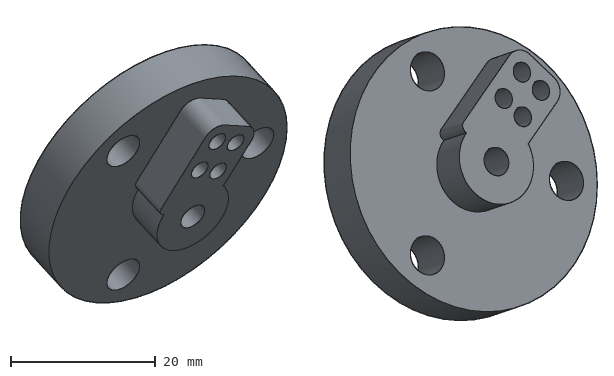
import math

import cadquery as cq

disc_diameter = 40.0
disc_thickness = 7.0
total_depth = 13.0
raised_height = total_depth - disc_thickness

center_hole_diameter = 4.0
mount_hole_diameter = 5.5
mount_circle_radius = 15.0
mount_hole_count = 3

pin_hole_diameter = 2.8
pin_pattern_center = 10.5
pin_pitch_along = 5.0
pin_pitch_across = 3.8

hub_diameter = 12.0
pin_wall = 1.5
block_angle = 54.0
block_offset = -2.45
block_length = pin_pattern_center + pin_pitch_along / 2 + pin_hole_diameter / 2 + pin_wall
block_width = pin_pitch_across + pin_hole_diameter + 2 * pin_wall
far_corner_radius = 2.4
near_corner_radius = 1.0


def block_point(along, across):
    """Turn a position along and across the block into (Y, Z)."""
    angle = math.radians(block_angle)
    y = along * math.cos(angle) + across * math.sin(angle)
    z = along * math.sin(angle) - across * math.cos(angle)
    return y, z


def cylinder(diameter, start_x, length):
    """Make a cylinder on the X axis."""
    return cq.Workplane("YZ", origin=(start_x, 0, 0)).circle(diameter / 2).extrude(length)


def make_block():
    """Make the block with rounded upright corners, starting level with the disc axis."""
    return (
        cq.Workplane("YZ", origin=(disc_thickness, block_length / 2, -block_offset))
        .rect(block_length, block_width)
        .extrude(raised_height)
        .faces(">Y").edges("|X")
        .fillet(far_corner_radius)
        .faces("<Y").edges("|X")
        .fillet(near_corner_radius)
        .rotate((0, 0, 0), (1, 0, 0), block_angle)
    )


def cut_through_holes(body, diameter, centers):
    """Cut round holes at (Y, Z) centres through the full depth."""
    holes = cq.Workplane("YZ").pushPoints(centers).circle(diameter / 2).extrude(total_depth)
    return body.cut(holes)


def mount_hole_centers():
    """Space the mounting holes evenly, starting on +Y."""
    angles = [2 * math.pi * i / mount_hole_count for i in range(mount_hole_count)]
    return [(mount_circle_radius * math.cos(a), mount_circle_radius * math.sin(a)) for a in angles]


def pin_hole_centers():
    """Place the small holes around the block's centreline."""
    return [
        block_point(
            pin_pattern_center + along * pin_pitch_along / 2,
            block_offset + across * pin_pitch_across / 2,
        )
        for along in (-1, 1)
        for across in (-1, 1)
    ]


disc = cylinder(disc_diameter, 0, disc_thickness)
hub = cylinder(hub_diameter, disc_thickness, raised_height)
body = disc.union(hub).union(make_block())

body = cut_through_holes(body, center_hole_diameter, [(0, 0)])
body = cut_through_holes(body, mount_hole_diameter, mount_hole_centers())
result = cut_through_holes(body, pin_hole_diameter, pin_hole_centers())